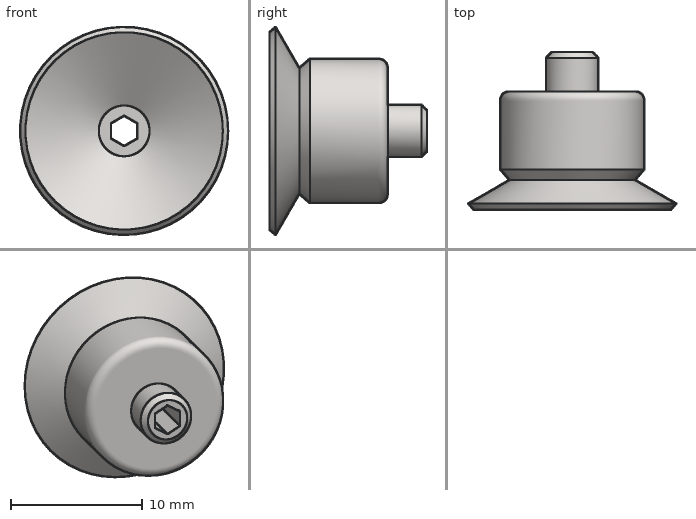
import cadquery as cq
import math

total_length = 12.0

rim_radius = 7.92
lip_radius = 7.51
lip_height = 0.48
neck_radius = 4.8
cup_slope = math.radians(30)
neck_height = lip_height + (rim_radius - neck_radius) * math.tan(cup_slope)

floor_radius = 1.93
cavity_depth = (lip_radius - floor_radius) * math.tan(cup_slope)

body_radius = 11.0 / 2
taper_height = 0.8
body_round = 0.7

pin_radius = 4.0 / 2
pin_length = 3.0
pin_chamfer = 0.45
body_top = total_length - pin_length

hex_flats = 1.98
hex_corners = hex_flats / math.cos(math.radians(30))


def turned_body():
    """Revolve the half section (radius, axial position) about the Y axis."""
    round_offset = body_round * (1 - math.sqrt(0.5))
    section = (
        cq.Workplane("XY")
        .moveTo(0, cavity_depth)
        .lineTo(floor_radius, cavity_depth)
        .lineTo(lip_radius, 0)
        .lineTo(rim_radius, lip_height)
        .lineTo(neck_radius, neck_height)
        .lineTo(body_radius, neck_height + taper_height)
        .lineTo(body_radius, body_top - body_round)
        .threePointArc(
            (body_radius - round_offset, body_top - round_offset),
            (body_radius - body_round, body_top),
        )
        .lineTo(pin_radius, body_top)
        .lineTo(pin_radius, total_length - pin_chamfer)
        .lineTo(pin_radius - pin_chamfer, total_length)
        .lineTo(0, total_length)
        .close()
    )
    return section.revolve(360, (0, 0, 0), (0, 1, 0))


def hex_hole():
    """Hexagonal prism running the full length of the part."""
    return (
        cq.Workplane("XZ")
        .transformed(rotate=(0, 0, 90))
        .polygon(6, hex_corners)
        .extrude(-total_length)
    )


result = turned_body().cut(hex_hole())